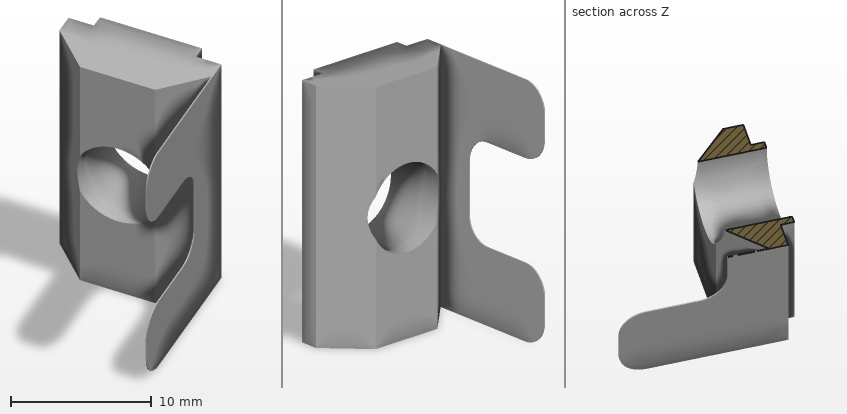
import cadquery as cq

length = 20.0
width = 12.0
body_depth = 5.5
overall_depth = 13.5

tongue_width = 8.0
tongue_height = 1.0
flank_depth = 1.5
bevel_width = 3.0
hole_diameter = 6.8

leaf_thickness = 0.1
slot_width = 8.0
corner_radius = 2.0

left_x = -width / 2
leaf_outer_x = width / 2
leaf_inner_x = leaf_outer_x - leaf_thickness

shoulder_y = -tongue_height
bevel_y = shoulder_y - flank_depth
nose_y = -body_depth
leaf_tip_y = -overall_depth


def make_body():
    """T-slot nut body: a bevelled profile extruded along Z, bored through along Y."""
    profile = [
        (-tongue_width / 2, 0),
        (tongue_width / 2, 0),
        (tongue_width / 2, shoulder_y),
        (leaf_inner_x, shoulder_y),
        (leaf_inner_x, bevel_y),
        (leaf_inner_x - bevel_width, nose_y),
        (left_x + bevel_width, nose_y),
        (left_x, bevel_y),
        (left_x, shoulder_y),
        (-tongue_width / 2, shoulder_y),
    ]
    body = cq.Workplane("XY").polyline(profile).close().extrude(length)
    bore = (
        cq.Workplane("XZ")
        .center(0, length / 2)
        .circle(hole_diameter / 2)
        .extrude(body_depth)
    )
    return body.cut(bore)


def make_leaf():
    """Thin forked leaf along the +X side, with rounded prong tips and slot corners."""
    slot_bottom_z = (length - slot_width) / 2
    slot_top_z = (length + slot_width) / 2
    outline = [
        (shoulder_y, 0),
        (leaf_tip_y, 0),
        (leaf_tip_y, slot_bottom_z),
        (nose_y, slot_bottom_z),
        (nose_y, slot_top_z),
        (leaf_tip_y, slot_top_z),
        (leaf_tip_y, length),
        (shoulder_y, length),
    ]
    leaf = (
        cq.Workplane("YZ")
        .workplane(offset=leaf_inner_x)
        .polyline(outline)
        .close()
        .extrude(leaf_thickness)
    )
    margin = corner_radius / 2
    fork_corners = cq.selectors.BoxSelector(
        (leaf_inner_x - margin, leaf_tip_y - margin, -margin),
        (leaf_outer_x + margin, nose_y + margin, length + margin),
    )
    return leaf.edges("|X").edges(fork_corners).fillet(corner_radius)


result = make_body().union(make_leaf())